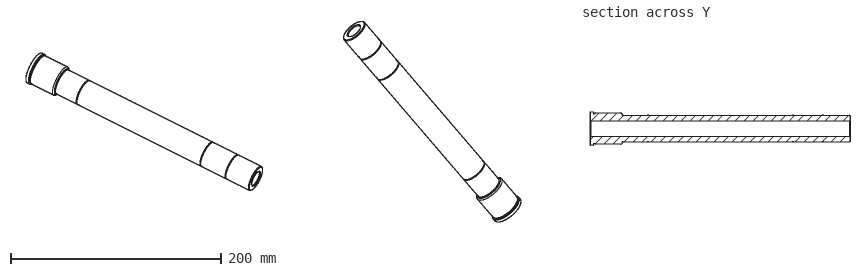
import cadquery as cq

LENGTH = 247.3
TUBE_RADIUS = 12.9
END_CHAMFER = 0.7

FLANGE_RADIUS = 15.95
FLANGE_LENGTH = 3.2
FLANGE_CHAMFER = 0.2

HEAD_RADIUS = 15.0
HEAD_END = 30.7
HEAD_CHAMFER = 1.2

FLANGE_RELIEF_WIDTH = 0.7
FLANGE_RELIEF_RADIUS = 14.3
HEAD_RELIEF_WIDTH = 0.7
HEAD_RELIEF_RADIUS = 12.5

GROOVE_STARTS = (54.5, 192.5, 220.5)
GROOVE_WIDTH = 1.0
GROOVE_DEPTH = 0.2

BORE_RADIUS = 7.2
BORE_CHAMFER = 0.7


def cylinder(start, length, radius):
    """Cylinder along +X, beginning at the given distance from the flange face."""
    return cq.Workplane("YZ", origin=(start - LENGTH / 2, 0, 0)).circle(radius).extrude(length)


def make_tube():
    return cylinder(0, LENGTH, TUBE_RADIUS).faces(">X").edges().chamfer(END_CHAMFER)


def make_flange():
    return cylinder(0, FLANGE_LENGTH, FLANGE_RADIUS).edges().chamfer(FLANGE_CHAMFER)


def make_head():
    start = FLANGE_LENGTH + FLANGE_RELIEF_WIDTH
    head = cylinder(start, HEAD_END - start, HEAD_RADIUS).faces(">X").edges().chamfer(HEAD_CHAMFER)
    relief_step = HEAD_RADIUS - FLANGE_RELIEF_RADIUS
    head = head.faces("<X").edges().chamfer(relief_step)
    return head.union(cylinder(FLANGE_LENGTH, start - FLANGE_LENGTH, FLANGE_RELIEF_RADIUS))


def make_head_relief():
    outer = cylinder(HEAD_END, HEAD_RELIEF_WIDTH, HEAD_RADIUS)
    return outer.cut(cylinder(HEAD_END, HEAD_RELIEF_WIDTH, HEAD_RELIEF_RADIUS))


def make_tube_groove(start):
    left = start - LENGTH / 2
    return (
        cq.Workplane("XY")
        .moveTo(left, TUBE_RADIUS)
        .lineTo(left + GROOVE_WIDTH / 2, TUBE_RADIUS - GROOVE_DEPTH)
        .lineTo(left + GROOVE_WIDTH, TUBE_RADIUS)
        .close()
        .revolve(360, (0, 0, 0), (1, 0, 0))
    )


def make_bore():
    """Bore tool that widens at both ends to chamfer the mouths."""
    half = LENGTH / 2
    mouth_radius = BORE_RADIUS + BORE_CHAMFER
    return (
        cq.Workplane("XY")
        .moveTo(-half, 0)
        .lineTo(-half, mouth_radius)
        .lineTo(-half + BORE_CHAMFER, BORE_RADIUS)
        .lineTo(half - BORE_CHAMFER, BORE_RADIUS)
        .lineTo(half, mouth_radius)
        .lineTo(half, 0)
        .close()
        .revolve(360, (0, 0, 0), (1, 0, 0))
    )


result = make_tube().union(make_flange()).union(make_head())
result = result.cut(make_head_relief())
for groove_start in GROOVE_STARTS:
    result = result.cut(make_tube_groove(groove_start))
result = result.cut(make_bore())